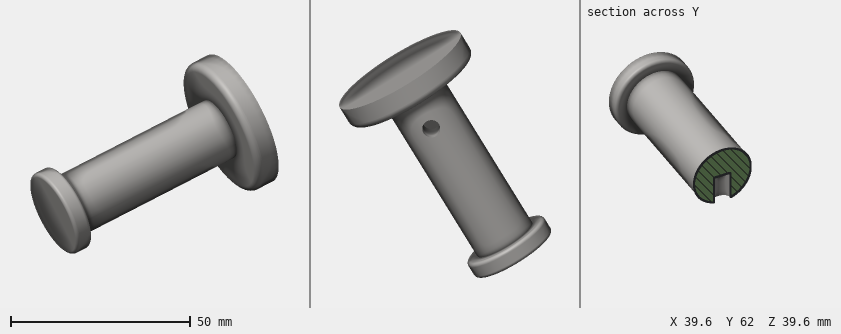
import cadquery as cq


flange_diameter = 39.6
flange_thickness = 7.0
flange_fillet = 2.0

post_diameter = 18.0
post_length = 50.0

knob_diameter = 25.0
knob_thickness = 5.0
knob_fillet = 1.0

screw_hole_diameter = 5.0
screw_hole_offset = 10.0

flange_front_y = -flange_thickness
knob_back_y = flange_front_y - post_length
screw_hole_y = flange_front_y - screw_hole_offset


def disc(diameter, length, back_y):
    """Cylinder on the Y axis that runs from back_y toward -Y."""
    start_plane = cq.Workplane("XZ", origin=(0, back_y, 0))
    return start_plane.circle(diameter / 2).extrude(length)


def make_flange():
    """Wall flange with its front rim rounded."""
    flange = disc(flange_diameter, flange_thickness, 0)
    return flange.faces("<Y").edges().fillet(flange_fillet)


def make_screw_hole():
    """Radial hole that enters the underside of the post and stops at its axis."""
    axis_plane = cq.Workplane("XY", origin=(0, screw_hole_y, 0))
    return axis_plane.circle(screw_hole_diameter / 2).extrude(-post_diameter / 2)


def make_hook_post():
    """Post and knob in one piece, with the set-screw hole near the flange."""
    post = disc(post_diameter, post_length, flange_front_y)
    knob = disc(knob_diameter, knob_thickness, knob_back_y)
    knob = knob.faces("<Y or >Y").edges().fillet(knob_fillet)
    return post.union(knob).cut(make_screw_hole())


flange = make_flange()
hook_post = make_hook_post()

result = cq.Compound.makeCompound([flange.val(), hook_post.val()])